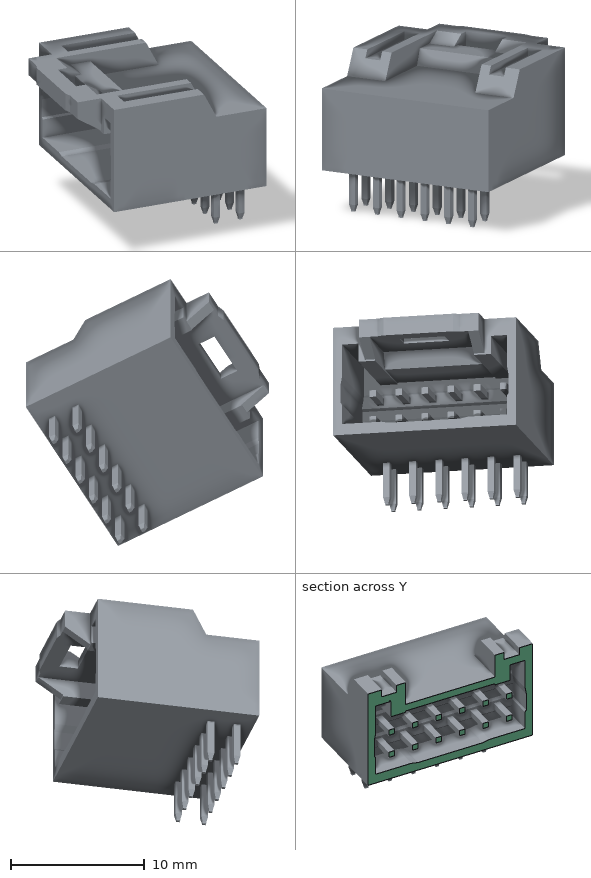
import cadquery as cq


width = 14.0
overall_depth = 14.5
depth = 12.41
height = 8.3
roof_z = 6.32
ramp_front_y = 7.32
ramp_back_y = 8.34

cavity_depth = 7.25
floor_z = 0.84
floor_relief_z = 0.72
floor_relief_half = 2.75
floor_slope_half = 3.32
cavity_half = 6.32
bulge_half = 6.44
bulge_start_z = 2.32
bulge_full_z = 2.46
bulge_fade_z = 3.92
bulge_end_z = 4.52
side_ceiling_z = 6.96
rail_bottom_z = 5.57
rail_outer_half = 5.08
rail_inner_half = 3.78

tongue_thickness = 0.64
tongue_top_z = 7.57
bend_front_y = 2.77
bend_back_y = 3.22
wedge_back_y = 1.19

lip_half = 4.58
lip_length = 1.91
nose_length = overall_depth - depth
nose_half = 2.67
nose_base_half = 3.16
window_half = 1.73
window_front_y = -0.78
window_back_y = 0.62

slot_inner_half = lip_half
slot_outer_half = 5.83
slot_front_y = 1.3
slot_back_y = 7.65
slot_floor_z = 7.67

pitch = 2.0
pins_per_row = 6
pin_size = 0.51
contact_tip_y = 4.35
lower_row_z = 2.2
row_z = (lower_row_z, lower_row_z + pitch)
front_leg_y = 9.14
leg_y = (front_leg_y, front_leg_y + pitch)
leg_length = 3.2
leg_taper = 0.45
leg_end_size = 0.28
leg_end_length = 0.1

rib_base_half = 0.62
rib_top_half = 0.45
rib_height = rib_base_half - rib_top_half

tongue_bottom_z = tongue_top_z - tongue_thickness
ceiling_z = roof_z - tongue_thickness


def box(x0, x1, y0, y1, z0, z1):
    """Box between two opposite corners."""
    return cq.Workplane("XY").box(x1 - x0, y1 - y0, z1 - z0, centered=False).translate((x0, y0, z0))


def extrude_x(side_outline, x0, x1):
    """Solid with a (y, z) outline, running from x0 to x1."""
    return cq.Workplane("YZ").workplane(offset=x0).polyline(side_outline).close().extrude(x1 - x0)


def both_sides(solid):
    """The solid together with its mirror image across the middle plane."""
    return solid.union(solid.mirror("YZ"))


def make_housing():
    """Block with a low rear roof, a ramp up to full height, and a low strip between the rails."""
    side_outline = [
        (0, 0),
        (depth, 0),
        (depth, roof_z),
        (ramp_back_y, roof_z),
        (ramp_front_y, height),
        (0, height),
    ]
    block = extrude_x(side_outline, -width / 2, width / 2)
    return block.cut(box(-rail_inner_half, rail_inner_half, 0, depth, roof_z, height))


def make_cavity():
    """Plug-shaped opening, bulged at the sides and stepped around the rails."""
    right_half = [
        (floor_relief_half, floor_relief_z),
        (floor_slope_half, floor_z),
        (cavity_half, floor_z),
        (cavity_half, bulge_start_z),
        (bulge_half, bulge_full_z),
        (bulge_half, bulge_fade_z),
        (cavity_half, bulge_end_z),
        (cavity_half, side_ceiling_z),
        (rail_outer_half, side_ceiling_z),
        (rail_outer_half, rail_bottom_z),
        (rail_inner_half, rail_bottom_z),
        (rail_inner_half, ceiling_z),
    ]
    left_half = [(-x, z) for x, z in reversed(right_half)]
    return cq.Workplane("XZ").polyline(right_half + left_half).close().extrude(-cavity_depth)


def make_roof_opening():
    """Gap between the rails where the tongue replaces the flat roof."""
    return box(-rail_inner_half, rail_inner_half, 0, bend_back_y, ceiling_z, height)


def make_tongue():
    """Bent plate rising from the roof, with wedges that climb to the lip top."""
    plate_outline = [
        (bend_back_y, ceiling_z),
        (bend_back_y, roof_z),
        (bend_front_y, tongue_top_z),
        (wedge_back_y, tongue_top_z),
        (0, height),
        (0, tongue_bottom_z),
        (bend_front_y, tongue_bottom_z),
    ]
    return extrude_x(plate_outline, -rail_inner_half, rail_inner_half)


def make_lip():
    """Overhanging lip with a shallow nose and a sloping gusset under each end."""
    right_half = [
        (lip_half, 0),
        (lip_half, -lip_length),
        (nose_base_half, -lip_length),
        (nose_half, -nose_length),
    ]
    left_half = [(-x, y) for x, y in reversed(right_half)]
    lip = (
        cq.Workplane("XY")
        .workplane(offset=tongue_bottom_z)
        .polyline(right_half + left_half)
        .close()
        .extrude(height - tongue_bottom_z)
    )
    gusset_outline = [(0, ceiling_z), (0, tongue_bottom_z), (-lip_length, tongue_bottom_z)]
    return lip.union(both_sides(extrude_x(gusset_outline, rail_inner_half, lip_half)))


def make_window():
    """Opening through the lip; above the tongue it also clears the wedges."""
    through = box(-window_half, window_half, window_front_y, window_back_y, ceiling_z, height)
    above_tongue = box(-window_half, window_half, window_back_y, wedge_back_y, tongue_top_z, height)
    return through.union(above_tongue)


def make_slots():
    """Shallow slots in the rail tops, breaking into the ramps behind them."""
    return both_sides(box(slot_inner_half, slot_outer_half, slot_front_y, slot_back_y, slot_floor_z, height))


def make_rib(z):
    """Bevelled rib standing on the back wall of the cavity, centred at height z."""
    outline = [
        (cavity_depth, z - rib_base_half),
        (cavity_depth - rib_height, z - rib_top_half),
        (cavity_depth - rib_height, z + rib_top_half),
        (cavity_depth, z + rib_base_half),
    ]
    return extrude_x(outline, -bulge_half, bulge_half)


def make_contact(x, z):
    """Straight square contact pin pointing out of the back wall."""
    half = pin_size / 2
    return box(x - half, x + half, contact_tip_y, cavity_depth, z - half, z + half)


def make_leg(x, y):
    """Square solder leg below the housing, tapering to a short narrow end."""
    taper_bottom_z = leg_end_length - leg_length
    taper_top_z = taper_bottom_z + leg_taper
    half = pin_size / 2
    end_half = leg_end_size / 2
    shank = box(x - half, x + half, y - half, y + half, taper_top_z, 0)
    taper = (
        cq.Workplane("XY", origin=(x, y, taper_top_z))
        .rect(pin_size, pin_size)
        .workplane(offset=-leg_taper)
        .rect(leg_end_size, leg_end_size)
        .loft()
    )
    end = box(x - end_half, x + end_half, y - end_half, y + end_half, -leg_length, taper_bottom_z)
    return shank.union(taper).union(end)


cavity = make_cavity()

result = make_housing().cut(cavity).cut(make_roof_opening())
result = result.union(make_tongue()).union(make_lip())
result = result.cut(make_window()).cut(make_slots())

for z in row_z:
    result = result.union(make_rib(z).intersect(cavity))

for column in range(pins_per_row):
    x = (column - (pins_per_row - 1) / 2) * pitch
    for z in row_z:
        result = result.union(make_contact(x, z))
    for y in leg_y:
        result = result.union(make_leg(x, y))